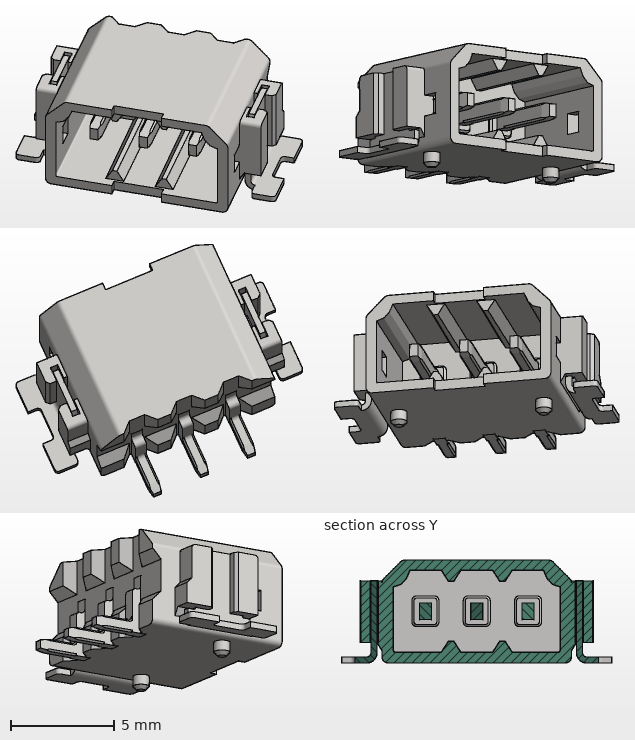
import cadquery as cq
import math


OVERALL_WIDTH = 13.1
OVERALL_DEPTH = 9.5
HOUSING_WIDTH = 9.2
HOUSING_DEPTH = 7.49
HOUSING_HEIGHT = 5.0
HALF_WIDTH = HOUSING_WIDTH / 2

PIN_PITCH = 2.49
PIN_COUNT = 3
PIN_AXIS_Z = 2.52
PIN_XS = [(i - (PIN_COUNT - 1) / 2) * PIN_PITCH for i in range(PIN_COUNT)]
RIB_XS = [(left + right) / 2 for left, right in zip(PIN_XS, PIN_XS[1:])]

SHOULDER_CHAMFER = 1.0
SHELL_EDGE_RADIUS = 0.3
WALL = 0.52
FLOOR_THICKNESS = 0.5
CEILING_THICKNESS = 0.47
CAVITY_DEPTH = 5.5
CAVITY_DRAFT = 0.04
DRAFT_ANGLE = math.degrees(math.atan(CAVITY_DRAFT / CAVITY_DEPTH))
CAVITY_CORNER_RADIUS = 0.08
CAVITY_HALF_WIDTH = HALF_WIDTH - WALL
CAVITY_TOP = HOUSING_HEIGHT - CEILING_THICKNESS
CORNER_BULGE = [(0, 0.81), (0.37, 0.7), (0.64, 0.4), (0.81, 0)]

FRONT_NOTCH_WIDTH = PIN_PITCH
FRONT_NOTCH_DEPTH = 0.37

RIB_BASE_WIDTH = 1.0
RIB_TIP_WIDTH = 0.26
RIB_HEIGHT = 0.58
RIB_ROOT = 0.13
RIB_FRONT_Y = 0.5

BOSS_WIDTH = 1.31
BOSS_HEIGHT = 1.49
BOSS_LENGTH = 0.2
BOSS_CHAMFER = 0.1
BOSS_CORNER_RADIUS = 0.24

WINDOW_FRONT_Y = 1.22
WINDOW_BOTTOM_Z = 1.61
WINDOW_HEIGHT = 1.02

RECESS_DEPTH = 0.48
REAR_WALL_Y = HOUSING_DEPTH - RECESS_DEPTH
LEG_RECESS_FLOOR = 0.81
CROSS_RECESS_FLOOR = 1.6

PEG_X = 3.6
PEG_Y = 2.84
PEG_DIAMETER = 0.8
PEG_LENGTH = 0.7
PEG_CHAMFER = 0.2

EAR_OUTER_X = 5.67
EAR_FRONT_Y = 2.1
EAR_LENGTH = 3.83
EAR_BACK_Y = EAR_FRONT_Y + EAR_LENGTH
EAR_CENTER_Y = EAR_FRONT_Y + EAR_LENGTH / 2
EAR_TOP_Z = 4.0
EAR_BOTTOM_Z = 1.0
EAR_EDGE_RADIUS = 0.2
EAR_STEP = 0.28
EAR_STEP_TOP_Z = 2.29
EAR_ROOT_BOTTOM_Z = 0.59
EAR_GROOVE_WIDTH = 1.23
EAR_GROOVE_CHAMFER = 0.17

TAB_THICKNESS = 0.3
TAB_INNER_X = 4.83
TAB_OUTER_X = TAB_INNER_X + TAB_THICKNESS
TAB_BLADE_WIDTH = 2.72
TAB_LEAD_IN_INSET = 0.25
TAB_LEAD_IN_HEIGHT = 0.75
TAB_BASE_WIDTH = 3.59
TAB_BASE_TOP_Z = 0.9
TAB_SHOULDER_RADIUS = 0.08
TAB_BEND_RADIUS = 0.2
TAB_BEND_OUTER_RADIUS = TAB_BEND_RADIUS + TAB_THICKNESS
PAD_INNER_X = TAB_INNER_X + TAB_BEND_OUTER_RADIUS
PAD_OUTER_X = OVERALL_WIDTH / 2
PAD_LENGTH = 5.02
PAD_CORNER_RADIUS = 0.2
PAD_NOTCH_WIDTH = 1.78
PAD_NOTCH_DEPTH = 0.63
TAB_BUMP_WIDTH = 0.85
TAB_BUMP_HEIGHT = 0.85
TAB_BUMP_PROJECTION = 0.13
TAB_BUMP_BOTTOM_Z = 1.83
SLOT_INNER_CLEARANCE = 0.05
SLOT_OUTER_CLEARANCE = 0.03

PIN_WIDTH = 0.59
PIN_HEIGHT = 0.81
PIN_TIP_Y = 1.18
PIN_EDGE_CHAMFER = 0.09
PIN_CHAMFER_END_Y = 4.72
PIN_TAPER_LENGTH = 0.5
PIN_TAPER_INSET = 0.09
LEG_TOP_Z = 2.21
LEG_THICKNESS = 0.8
LEG_RADIUS = 0.2
TAIL_THICKNESS = 0.6


def box(x_range, y_range, z_range):
    """Box between two limits on each axis."""
    (x0, x1), (y0, y1), (z0, z1) = x_range, y_range, z_range
    return cq.Workplane("XY").box(x1 - x0, y1 - y0, z1 - z0, centered=False).translate((x0, y0, z0))


def centered(middle, size):
    """Limits of a length centred on a place."""
    return middle - size / 2, middle + size / 2


def prism_along_y(points, y_front, y_back):
    """Prism with an (x, z) outline."""
    outline = cq.Workplane("XZ", origin=(0, y_front, 0)).polyline(points).close()
    return outline.extrude(y_front - y_back)


def prism_along_x(points, x_start, x_end):
    """Prism with a (y, z) outline."""
    return cq.Workplane("YZ", origin=(x_start, 0, 0)).polyline(points).close().extrude(x_end - x_start)


def prism_along_z(points, z_bottom, z_top):
    """Prism with an (x, y) outline."""
    return cq.Workplane("XY", origin=(0, 0, z_bottom)).polyline(points).close().extrude(z_top - z_bottom)


def mirrored(body):
    """Copy of a body on the opposite side of the connector."""
    return body.mirror("YZ")


def make_outer_block():
    shoulder_x = HALF_WIDTH - SHOULDER_CHAMFER
    shoulder_z = HOUSING_HEIGHT - SHOULDER_CHAMFER
    outline = [
        (-HALF_WIDTH, 0),
        (HALF_WIDTH, 0),
        (HALF_WIDTH, shoulder_z),
        (shoulder_x, HOUSING_HEIGHT),
        (-shoulder_x, HOUSING_HEIGHT),
        (-HALF_WIDTH, shoulder_z),
    ]
    return prism_along_y(outline, 0, HOUSING_DEPTH).edges("|Y").fillet(SHELL_EDGE_RADIUS)


def make_cavity():
    """Mating cavity, slightly narrower towards its back wall."""
    right = [(CAVITY_HALF_WIDTH - inset, CAVITY_TOP - drop) for inset, drop in CORNER_BULGE]
    left = [(-x, z) for x, z in reversed(right)]
    bottom = [(-CAVITY_HALF_WIDTH, FLOOR_THICKNESS), (CAVITY_HALF_WIDTH, FLOOR_THICKNESS)]
    outline = cq.Workplane("XZ").polyline(bottom + right + left).close()
    cavity = outline.extrude(-CAVITY_DEPTH, taper=DRAFT_ANGLE)
    floor_corners = cavity.faces("<Z").edges("<X or >X")
    return floor_corners.fillet(CAVITY_CORNER_RADIUS)


def make_rib(x, base_z, height):
    """Drafted guide rib with a trapezoid section, rooted in the shell; a negative height hangs down."""
    flank = (RIB_BASE_WIDTH - RIB_TIP_WIDTH) / 2
    root_half = RIB_BASE_WIDTH / 2 + flank * RIB_ROOT / RIB_HEIGHT
    root_z = base_z - math.copysign(RIB_ROOT, height)
    tip_z = base_z + height
    outline = [
        (x - root_half, root_z),
        (x + root_half, root_z),
        (x + RIB_TIP_WIDTH / 2, tip_z),
        (x - RIB_TIP_WIDTH / 2, tip_z),
    ]
    rib = cq.Workplane("XZ", origin=(0, CAVITY_DEPTH, 0)).polyline(outline).close()
    return rib.extrude(CAVITY_DEPTH - RIB_FRONT_Y, taper=DRAFT_ANGLE)


def make_boss(x):
    """Chamfered boss around a pin on the back wall of the cavity."""
    boss = box(
        centered(x, BOSS_WIDTH),
        (CAVITY_DEPTH - BOSS_LENGTH, CAVITY_DEPTH),
        centered(PIN_AXIS_Z, BOSS_HEIGHT),
    )
    return boss.edges("|Y").fillet(BOSS_CORNER_RADIUS).faces("<Y").chamfer(BOSS_CHAMFER)


def recess_outline(middle, floor_width):
    """Trapezoid as (place across, y) points, wide at the rear face."""
    half_floor = floor_width / 2
    half_mouth = half_floor + RECESS_DEPTH
    return [
        (middle - half_mouth, HOUSING_DEPTH),
        (middle - half_floor, REAR_WALL_Y),
        (middle + half_floor, REAR_WALL_Y),
        (middle + half_mouth, HOUSING_DEPTH),
    ]


def make_leg_recess(x):
    return prism_along_z(recess_outline(x, LEG_RECESS_FLOOR), 0, HOUSING_HEIGHT)


def make_cross_recess():
    """Recess across the full width of the rear face, level with the pins."""
    outline = [(y, z) for z, y in recess_outline(PIN_AXIS_Z, CROSS_RECESS_FLOOR)]
    return prism_along_x(outline, -HALF_WIDTH, HALF_WIDTH)


def make_peg(x):
    peg = cq.Workplane("XY", origin=(x, PEG_Y, 0)).circle(PEG_DIAMETER / 2).extrude(-PEG_LENGTH)
    return peg.faces("<Z").chamfer(PEG_CHAMFER)


def make_ear():
    """Slotted block on the +X side that a solder tab is pushed into."""
    side_outline = [
        (EAR_FRONT_Y, EAR_ROOT_BOTTOM_Z),
        (EAR_BACK_Y + EAR_STEP, EAR_ROOT_BOTTOM_Z),
        (EAR_BACK_Y + EAR_STEP, EAR_STEP_TOP_Z - EAR_STEP),
        (EAR_BACK_Y, EAR_STEP_TOP_Z),
        (EAR_BACK_Y, EAR_TOP_Z),
        (EAR_FRONT_Y, EAR_TOP_Z),
    ]
    ear = prism_along_x(side_outline, HALF_WIDTH, EAR_OUTER_X)
    ear = ear.faces(">Z").edges("|X").fillet(EAR_EDGE_RADIUS)

    underside = [
        (HALF_WIDTH, EAR_ROOT_BOTTOM_Z),
        (TAB_INNER_X, EAR_BOTTOM_Z),
        (EAR_OUTER_X, EAR_BOTTOM_Z),
        (EAR_OUTER_X, EAR_ROOT_BOTTOM_Z),
    ]
    ear = ear.cut(prism_along_y(underside, EAR_FRONT_Y, EAR_BACK_Y + EAR_STEP))

    half_groove = EAR_GROOVE_WIDTH / 2
    half_mouth = half_groove + EAR_GROOVE_CHAMFER
    groove = [
        (HALF_WIDTH, EAR_CENTER_Y - half_groove),
        (EAR_OUTER_X - EAR_GROOVE_CHAMFER, EAR_CENTER_Y - half_groove),
        (EAR_OUTER_X, EAR_CENTER_Y - half_mouth),
        (EAR_OUTER_X, EAR_CENTER_Y + half_mouth),
        (EAR_OUTER_X - EAR_GROOVE_CHAMFER, EAR_CENTER_Y + half_groove),
        (HALF_WIDTH, EAR_CENTER_Y + half_groove),
    ]
    ear = ear.cut(prism_along_z(groove, EAR_BOTTOM_Z, EAR_TOP_Z))

    slot = box(
        (TAB_INNER_X - SLOT_INNER_CLEARANCE, TAB_OUTER_X + SLOT_OUTER_CLEARANCE),
        centered(EAR_CENTER_Y, TAB_BLADE_WIDTH),
        (EAR_BOTTOM_Z, EAR_TOP_Z),
    )
    return ear.cut(slot)


def make_housing(pins):
    housing = make_outer_block().cut(make_cavity())
    for x in RIB_XS:
        housing = housing.union(make_rib(x, FLOOR_THICKNESS, RIB_HEIGHT))
        housing = housing.union(make_rib(x, CAVITY_TOP, -RIB_HEIGHT))
    housing = housing.cut(
        box(centered(0, FRONT_NOTCH_WIDTH), (0, FRONT_NOTCH_DEPTH), (0, HOUSING_HEIGHT))
    )
    housing = housing.cut(
        box(
            (-HALF_WIDTH, HALF_WIDTH),
            (WINDOW_FRONT_Y, EAR_FRONT_Y),
            (WINDOW_BOTTOM_Z, WINDOW_BOTTOM_Z + WINDOW_HEIGHT),
        )
    )
    housing = housing.cut(make_cross_recess())
    for x in PIN_XS:
        housing = housing.cut(make_leg_recess(x)).union(make_boss(x))
    for x in (-PEG_X, PEG_X):
        housing = housing.union(make_peg(x))
    ear = make_ear()
    housing = housing.union(ear).union(mirrored(ear))
    for pin in pins:
        housing = housing.cut(pin)
    return housing


def make_taper(z_middle, height, tip_y, base_y, far_y):
    """Envelope that narrows a bar from base_y to its tip and leaves it full size up to far_y."""
    facing = 1 if tip_y > base_y else -1
    tip = cq.Workplane("XZ", origin=(0, base_y, z_middle)).rect(PIN_WIDTH, height)
    tip = tip.workplane(offset=-facing * PIN_TAPER_LENGTH)
    tip = tip.rect(PIN_WIDTH - 2 * PIN_TAPER_INSET, height - 2 * PIN_TAPER_INSET).loft(ruled=True)
    body = box(
        centered(0, PIN_WIDTH),
        (min(base_y, far_y), max(base_y, far_y)),
        centered(z_middle, height),
    )
    return body.union(tip)


def make_contact_bar():
    """Straight contact: tapered tip, chamfered edges in the cavity, square through the back wall."""
    bar = box(
        centered(0, PIN_WIDTH),
        (PIN_TIP_Y, PIN_CHAMFER_END_Y),
        centered(PIN_AXIS_Z, PIN_HEIGHT),
    )
    bar = bar.edges("|Y").chamfer(PIN_EDGE_CHAMFER)
    plain_end = box(
        centered(0, PIN_WIDTH),
        (PIN_CHAMFER_END_Y, REAR_WALL_Y),
        centered(PIN_AXIS_Z, PIN_HEIGHT),
    )
    taper = make_taper(PIN_AXIS_Z, PIN_HEIGHT, PIN_TIP_Y, PIN_TIP_Y + PIN_TAPER_LENGTH, PIN_CHAMFER_END_Y)
    return bar.intersect(taper).union(plain_end)


def make_leg():
    """Upright leg behind the rear wall, blended into the end of the contact bar."""
    start = cq.Workplane("YZ", origin=(-PIN_WIDTH / 2, 0, 0)).moveTo(HOUSING_DEPTH - LEG_THICKNESS, 0)
    outline = (
        start.lineTo(HOUSING_DEPTH, 0)
        .lineTo(HOUSING_DEPTH, LEG_TOP_Z - LEG_RADIUS)
        .radiusArc((HOUSING_DEPTH - LEG_RADIUS, LEG_TOP_Z), -LEG_RADIUS)
        .lineTo(REAR_WALL_Y + LEG_RADIUS, LEG_TOP_Z)
        .radiusArc((REAR_WALL_Y, LEG_TOP_Z + LEG_RADIUS), LEG_RADIUS)
        .lineTo(HOUSING_DEPTH - LEG_THICKNESS, LEG_TOP_Z + LEG_RADIUS)
        .close()
    )
    return outline.extrude(PIN_WIDTH)


def make_tail():
    """Solder tail on the board plane, with a blend up to the leg and a tapered tip."""
    start = cq.Workplane("YZ", origin=(-PIN_WIDTH / 2, 0, 0)).moveTo(HOUSING_DEPTH, 0)
    outline = (
        start.lineTo(OVERALL_DEPTH, 0)
        .lineTo(OVERALL_DEPTH, TAIL_THICKNESS)
        .lineTo(HOUSING_DEPTH + LEG_RADIUS, TAIL_THICKNESS)
        .radiusArc((HOUSING_DEPTH, TAIL_THICKNESS + LEG_RADIUS), LEG_RADIUS)
        .close()
    )
    tail = outline.extrude(PIN_WIDTH).edges("|Y").chamfer(PIN_EDGE_CHAMFER)
    taper_start = OVERALL_DEPTH - PIN_TAPER_LENGTH
    taper = make_taper(TAIL_THICKNESS / 2, TAIL_THICKNESS, OVERALL_DEPTH, taper_start, HOUSING_DEPTH)
    blend_room = box(
        centered(0, PIN_WIDTH),
        (HOUSING_DEPTH, HOUSING_DEPTH + LEG_RADIUS),
        (0, TAIL_THICKNESS + LEG_RADIUS),
    )
    return tail.intersect(taper.union(blend_room))


def make_pin(x):
    return make_contact_bar().union(make_leg()).union(make_tail()).translate((x, 0, 0))


def make_tab():
    """Bent sheet tab on the +X side: upright blade, bend and flat soldering pad."""
    blade_front, blade_back = centered(EAR_CENTER_Y, TAB_BLADE_WIDTH)
    lead_in_z = EAR_TOP_Z - TAB_LEAD_IN_HEIGHT
    blade_outline = [
        (blade_front, TAB_BEND_OUTER_RADIUS),
        (blade_back, TAB_BEND_OUTER_RADIUS),
        (blade_back, lead_in_z),
        (blade_back - TAB_LEAD_IN_INSET, EAR_TOP_Z),
        (blade_front + TAB_LEAD_IN_INSET, EAR_TOP_Z),
        (blade_front, lead_in_z),
    ]
    blade = prism_along_x(blade_outline, TAB_INNER_X, TAB_OUTER_X)
    bump = box(
        (TAB_INNER_X - TAB_BUMP_PROJECTION, TAB_INNER_X),
        centered(EAR_CENTER_Y, TAB_BUMP_WIDTH),
        (TAB_BUMP_BOTTOM_Z, TAB_BUMP_BOTTOM_Z + TAB_BUMP_HEIGHT),
    )

    base_front, base_back = centered(EAR_CENTER_Y, TAB_BASE_WIDTH)
    start = cq.Workplane("XZ", origin=(0, base_front, 0)).moveTo(TAB_INNER_X, TAB_BASE_TOP_Z)
    base = (
        start.lineTo(TAB_INNER_X, TAB_BEND_OUTER_RADIUS)
        .radiusArc((PAD_INNER_X, 0), -TAB_BEND_OUTER_RADIUS)
        .lineTo(PAD_INNER_X, TAB_THICKNESS)
        .radiusArc((TAB_OUTER_X, TAB_BEND_OUTER_RADIUS), TAB_BEND_RADIUS)
        .lineTo(TAB_OUTER_X, TAB_BASE_TOP_Z)
        .close()
        .extrude(base_front - base_back)
    )

    pad = box(
        (PAD_INNER_X, PAD_OUTER_X),
        centered(EAR_CENTER_Y, PAD_LENGTH),
        (0, TAB_THICKNESS),
    )
    pad = pad.edges("|Z").fillet(PAD_CORNER_RADIUS)
    notch = box(
        (PAD_OUTER_X - PAD_NOTCH_DEPTH, PAD_OUTER_X),
        centered(EAR_CENTER_Y, PAD_NOTCH_WIDTH),
        (0, TAB_THICKNESS),
    )
    pad = pad.cut(notch.edges("|Z and <X").fillet(PAD_CORNER_RADIUS))
    tab = blade.union(base)
    shoulder_corners = cq.selectors.BoxSelector(
        (TAB_INNER_X, blade_front - TAB_SHOULDER_RADIUS, TAB_BASE_TOP_Z - TAB_SHOULDER_RADIUS),
        (TAB_OUTER_X, blade_back + TAB_SHOULDER_RADIUS, TAB_BASE_TOP_Z + TAB_SHOULDER_RADIUS),
    )
    tab = tab.edges("|X").edges(shoulder_corners).fillet(TAB_SHOULDER_RADIUS)
    return tab.union(bump).union(pad)


pins = [make_pin(x) for x in PIN_XS]
right_tab = make_tab()
tabs = [right_tab, mirrored(right_tab)]
housing = make_housing(pins)

result = cq.Compound.makeCompound(
    [body.solids().val() for body in (housing, *pins, *tabs)]
)